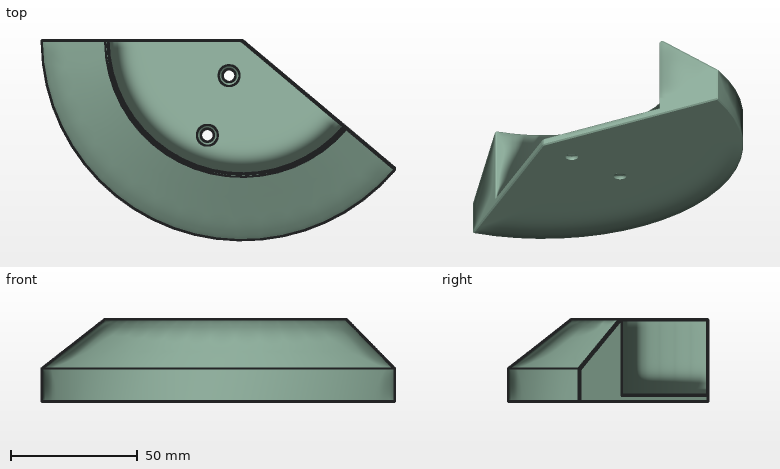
import cadquery as cq
import math

outer_radius = 79.0
sector_angle = 140.0
sector_start = 180.0
total_height = 32.74
skirt_height = 13.2

rim_outer_radius = 54.0
pocket_radius = 52.6
floor_thickness = 3.0

edge_break = 0.5

hole_diameter = 5.0
countersink_diameter = 8.2
countersink_angle = 90.0
hole_distances = (15.0, 40.0)


def make_sector():
    """Revolve the wall and floor profile about Z, from -X round through -Y."""
    profile = (
        cq.Workplane("XZ")
        .moveTo(0, 0)
        .lineTo(-outer_radius, 0)
        .lineTo(-outer_radius, skirt_height)
        .lineTo(-rim_outer_radius, total_height)
        .lineTo(-pocket_radius, total_height)
        .lineTo(-pocket_radius, floor_thickness)
        .lineTo(0, floor_thickness)
        .close()
    )
    return profile.revolve(sector_angle, (0, 0, 0), (0, 1, 0))


def cut_face_outline(body, direction):
    """Edges of the flat cut face that runs from the tip in the given direction."""
    angle = math.radians(direction)
    middle_radius = (pocket_radius + outer_radius) / 2
    point_on_face = (
        middle_radius * math.cos(angle),
        middle_radius * math.sin(angle),
        skirt_height / 2,
    )
    return body.faces(cq.selectors.NearestToPointSelector(point_on_face)).edges()


def break_edges(body):
    """Chamfer the underside, both cut faces and the inner edge of the rim."""
    underside = body.faces("<Z").edges()
    inner_rim = body.faces(">Z").edges(cq.selectors.RadiusNthSelector(0))
    first_cut = cut_face_outline(body, sector_start)
    second_cut = cut_face_outline(body, sector_start + sector_angle)
    edges = underside.add(inner_rim).add(first_cut).add(second_cut)
    return edges.chamfer(edge_break)


def drill_holes(body):
    """Countersink the screw holes into the floor, from the recess side."""
    middle = math.radians(sector_start + sector_angle / 2)
    centres = [(d * math.cos(middle), d * math.sin(middle)) for d in hole_distances]
    return (
        body.copyWorkplane(cq.Workplane("XY", origin=(0, 0, floor_thickness)))
        .pushPoints(centres)
        .cskHole(hole_diameter, countersink_diameter, countersink_angle, floor_thickness)
    )


result = drill_holes(break_edges(make_sector()))